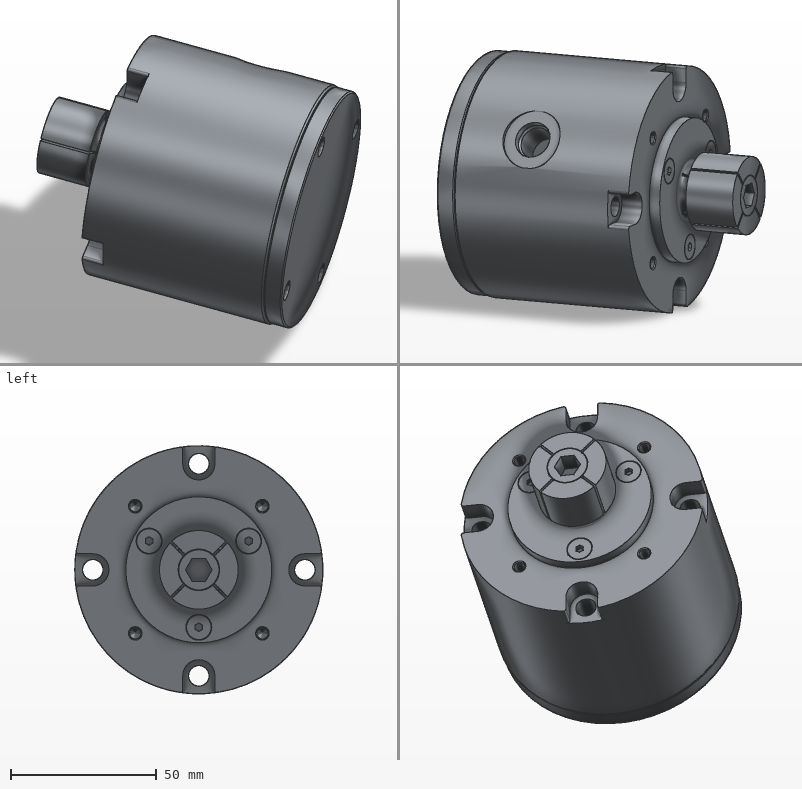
import cadquery as cq
import math


TOTAL_LENGTH = 98.6
HUB_END = 17.6
PILOT_FACE = 22.3
BODY_FACE = 26.2
COVER_JOINT = 92.1

HUB_RADIUS = 13.5
NECK_RADIUS = 9.0
NECK_FILLET = 2.2
PILOT_RADIUS = 25.0
BODY_RADIUS = 42.6
COVER_RADIUS = 42.1
BODY_CHAMFER = 0.7
COVER_CHAMFER = 0.5

SLOT_WIDTH = 0.8
SLOT_COUNT = 4
SLOT_END = 21.9
CLAMP_SCREW_RADIUS = 6.9
CLAMP_SCREW_GAP = 0.2
CLAMP_SCREW_HEX = 7.9
CLAMP_SCREW_HEX_DEPTH = 7.9

CAP_SCREW_COUNT = 3
CAP_SCREW_CIRCLE_RADIUS = 19.7
CAP_SCREW_RADIUS = 4.2
CAP_SCREW_GAP = 0.2
CAP_SCREW_GAP_DEPTH = 3.0
CAP_SCREW_HEX = 2.6
CAP_SCREW_HEX_DEPTH = 2.0

MOUNT_COUNT = 4
MOUNT_CIRCLE_RADIUS = 36.4
MOUNT_HOLE_DIAMETER = 7.0
NOTCH_WIDTH = 11.0
NOTCH_DEPTH = 7.7
NOTCH_CORNER_RADIUS = 0.9

TAPPED_COUNT = 4
TAPPED_CIRCLE_RADIUS = 30.9
TAPPED_DIAMETER = 3.8
TAPPED_CHAMFER = 0.4
TAPPED_DEPTH = 9.9
DRILL_POINT_ANGLE = 118.0

PORT_X = 65.3
PORT_ELEVATION = 30.0
PORT_SEAT_DIAMETER = 21.0
PORT_SEAT_LEVEL = 41.3
PORT_DIAMETER = 12.6
PORT_STRAIGHT_DEPTH = 2.9
PORT_TAPER = 0.7
PORT_DEPTH = 14.8

CUT_MARGIN = 1.0
DIAGONAL = 45.0


def face_plane(x):
    """Plane across the axis: local x is +Y, local y is +Z, normal +X."""
    return cq.Workplane("YZ", origin=(x, 0, 0))


def hex_corners(across_flats):
    return across_flats / math.cos(math.pi / 6)


def turned_blank():
    body_edge = BODY_RADIUS - BODY_CHAMFER
    cover_edge = COVER_RADIUS - COVER_CHAMFER
    outline = (
        cq.Workplane("XY")
        .moveTo(0, 0)
        .lineTo(0, HUB_RADIUS)
        .lineTo(HUB_END, HUB_RADIUS)
        .lineTo(HUB_END, NECK_RADIUS + NECK_FILLET)
        .radiusArc((HUB_END + NECK_FILLET, NECK_RADIUS), -NECK_FILLET)
        .lineTo(PILOT_FACE - NECK_FILLET, NECK_RADIUS)
        .radiusArc((PILOT_FACE, NECK_RADIUS + NECK_FILLET), -NECK_FILLET)
        .lineTo(PILOT_FACE, PILOT_RADIUS)
        .lineTo(BODY_FACE, PILOT_RADIUS)
        .lineTo(BODY_FACE, BODY_RADIUS)
        .lineTo(COVER_JOINT - BODY_CHAMFER, BODY_RADIUS)
        .lineTo(COVER_JOINT, body_edge)
        .lineTo(COVER_JOINT, cover_edge)
        .lineTo(COVER_JOINT + COVER_CHAMFER, COVER_RADIUS)
        .lineTo(TOTAL_LENGTH - COVER_CHAMFER, COVER_RADIUS)
        .lineTo(TOTAL_LENGTH, cover_edge)
        .lineTo(TOTAL_LENGTH, 0)
        .close()
    )
    return outline.revolve(360, (0, 0, 0), (1, 0, 0))


def hub_slots():
    """Radial saw cuts that split the hub into jaws around the clamp screw."""
    cuts = cq.Workplane("XY")
    for i in range(SLOT_COUNT):
        slot = cq.Workplane("XY").box(
            SLOT_END, HUB_RADIUS + CUT_MARGIN, SLOT_WIDTH, centered=(False, False, True)
        )
        angle = DIAGONAL + i * 360 / SLOT_COUNT
        cuts = cuts.add(slot.rotate((0, 0, 0), (1, 0, 0), angle))
    screw = face_plane(0).circle(CLAMP_SCREW_RADIUS).extrude(SLOT_END)
    return cuts.combine().cut(screw)


def clamp_screw_recess():
    gap = (
        face_plane(0)
        .circle(CLAMP_SCREW_RADIUS + CLAMP_SCREW_GAP)
        .circle(CLAMP_SCREW_RADIUS)
        .extrude(HUB_END)
    )
    socket = face_plane(0).polygon(6, hex_corners(CLAMP_SCREW_HEX)).extrude(CLAMP_SCREW_HEX_DEPTH)
    return gap.union(socket)


def cap_screw_recesses():
    """Gaps around the screw heads and their hexagon sockets."""
    def at_screws():
        return face_plane(PILOT_FACE).polarArray(CAP_SCREW_CIRCLE_RADIUS, -90, 360, CAP_SCREW_COUNT)

    gaps = (
        at_screws()
        .circle(CAP_SCREW_RADIUS + CAP_SCREW_GAP)
        .circle(CAP_SCREW_RADIUS)
        .extrude(CAP_SCREW_GAP_DEPTH)
    )
    sockets = at_screws().polygon(6, hex_corners(CAP_SCREW_HEX)).extrude(CAP_SCREW_HEX_DEPTH)
    return gaps.union(sockets)


def mounting_notch():
    """Round-ended notch on the +Y side, its outer corners rounded at the rim."""
    half = NOTCH_WIDTH / 2
    r = NOTCH_CORNER_RADIUS
    round_z = half + r
    round_y = math.sqrt((BODY_RADIUS - r) ** 2 - round_z ** 2)
    rim_scale = BODY_RADIUS / (BODY_RADIUS - r)
    rim_y = round_y * rim_scale
    rim_z = round_z * rim_scale
    middle_angle = (math.atan2(round_z, round_y) - math.pi / 2) / 2
    middle_y = round_y + r * math.cos(middle_angle)
    middle_z = round_z + r * math.sin(middle_angle)
    outer_y = BODY_RADIUS + CUT_MARGIN
    return (
        face_plane(BODY_FACE)
        .moveTo(MOUNT_CIRCLE_RADIUS, -half)
        .threePointArc((MOUNT_CIRCLE_RADIUS - half, 0), (MOUNT_CIRCLE_RADIUS, half))
        .lineTo(round_y, half)
        .threePointArc((middle_y, middle_z), (rim_y, rim_z))
        .lineTo(outer_y, rim_z)
        .lineTo(outer_y, -rim_z)
        .lineTo(rim_y, -rim_z)
        .threePointArc((middle_y, -middle_z), (round_y, -half))
        .close()
        .extrude(NOTCH_DEPTH)
    )


def mounting_cuts():
    hole = (
        face_plane(BODY_FACE)
        .center(MOUNT_CIRCLE_RADIUS, 0)
        .circle(MOUNT_HOLE_DIAMETER / 2)
        .extrude(TOTAL_LENGTH - BODY_FACE)
    )
    single = mounting_notch().union(hole)
    cuts = cq.Workplane("XY")
    for i in range(MOUNT_COUNT):
        cuts = cuts.add(single.rotate((0, 0, 0), (1, 0, 0), i * 360 / MOUNT_COUNT))
    return cuts.combine()


def tapped_holes():
    radius = TAPPED_DIAMETER / 2
    point_length = radius / math.tan(math.radians(DRILL_POINT_ANGLE / 2))
    drill = (
        cq.Workplane("XY")
        .moveTo(0, 0)
        .lineTo(0, radius + TAPPED_CHAMFER)
        .lineTo(TAPPED_CHAMFER, radius)
        .lineTo(TAPPED_DEPTH, radius)
        .lineTo(TAPPED_DEPTH + point_length, 0)
        .close()
        .revolve(360, (0, 0, 0), (1, 0, 0))
        .translate((BODY_FACE, TAPPED_CIRCLE_RADIUS, 0))
    )
    cuts = cq.Workplane("XY")
    for i in range(TAPPED_COUNT):
        angle = DIAGONAL + i * 360 / TAPPED_COUNT
        cuts = cuts.add(drill.rotate((0, 0, 0), (1, 0, 0), angle))
    return cuts.combine()


def supply_port():
    """Flat seat and stepped bore, turned about +Y and then tilted up."""
    radius = PORT_DIAMETER / 2
    seat_radius = PORT_SEAT_DIAMETER / 2
    taper_start = PORT_SEAT_LEVEL - PORT_STRAIGHT_DEPTH
    bottom = PORT_SEAT_LEVEL - PORT_DEPTH
    top = BODY_RADIUS + CUT_MARGIN
    cutter = (
        cq.Workplane("XY")
        .moveTo(0, top)
        .lineTo(seat_radius, top)
        .lineTo(seat_radius, PORT_SEAT_LEVEL)
        .lineTo(radius, PORT_SEAT_LEVEL)
        .lineTo(radius, taper_start)
        .lineTo(radius - PORT_TAPER, taper_start - PORT_TAPER)
        .lineTo(radius - PORT_TAPER, bottom)
        .lineTo(0, bottom)
        .close()
        .revolve(360, (0, 0, 0), (0, 1, 0))
    )
    return cutter.rotate((0, 0, 0), (1, 0, 0), PORT_ELEVATION).translate((PORT_X, 0, 0))


result = (
    turned_blank()
    .cut(hub_slots())
    .cut(clamp_screw_recess())
    .cut(cap_screw_recesses())
    .cut(mounting_cuts())
    .cut(tapped_holes())
    .cut(supply_port())
)